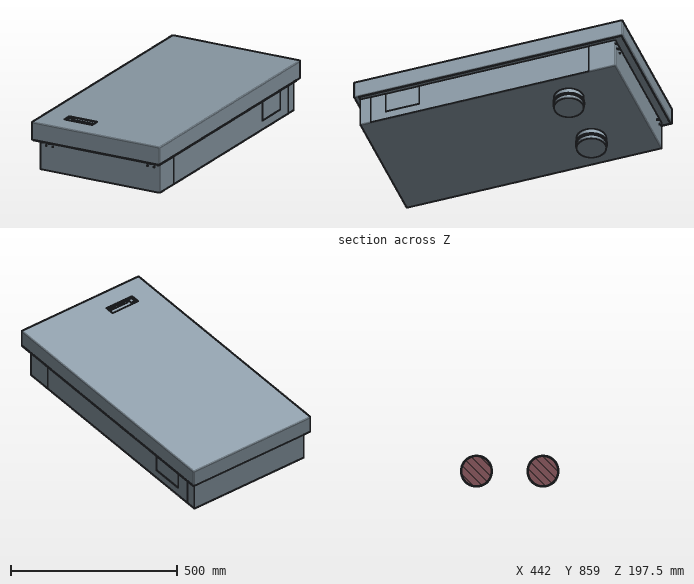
import cadquery as cq

TOTAL_HEIGHT = 197.5
LID_WIDTH = 442.0
LID_LENGTH = 859
LID_BOTTOM = 139.0
LID_EDGE_RADIUS = 3.0

CASE_WIDTH = 414.0
CASE_BACK = 414.0
CASE_FRONT = -402.0
CASE_BOTTOM = 38.0
CASE_EDGE_RADIUS = 3.0

FLANGE_THICKNESS = 3.0
FLANGE_SIDE_INSET = 3.5
FLANGE_FRONT_INSET = 4.0
FLANGE_WIDTH = LID_WIDTH - 2 * FLANGE_SIDE_INSET
FLANGE_FRONT = -LID_LENGTH / 2 + FLANGE_FRONT_INSET
FLANGE_BOTTOM = LID_BOTTOM - FLANGE_THICKNESS

PANEL_BACK = 380.0
PANEL_FRONT = -317.0
PANEL_DEPTH = 1.0
PLATE_BACK = 333.0
PLATE_FRONT = 225.0
PLATE_BOTTOM = 67.0
PLATE_DEPTH = 2.0

FRONT_HOLES = ((201.0, 126.0), (186.0, 118.5), (175.0, 126.0), (164.0, 118.5))
FRONT_HOLE_DIAMETER = 3.5
FRONT_HOLE_DEPTH = 4.0

SPIGOT_CENTRES = ((-110.0, -218.0), (90.0, -218.0))
SPIGOT_RADIUS = 45.5
BEAD_RADIUS = 47.0
BEAD_BOTTOM = 14.0
BEAD_TOP = 20.0
LEAD_IN_HEIGHT = 5.0
LEAD_IN_DEPTH = 1.0

DISPLAY_LEFT = -146
DISPLAY_RIGHT = -49.0
DISPLAY_FRONT = -362.0
DISPLAY_BACK = -331.5
DISPLAY_DEPTH = 2.0
DISPLAY_FLOOR = TOTAL_HEIGHT - DISPLAY_DEPTH
DISPLAY_CUTTER_TOP = TOTAL_HEIGHT + DISPLAY_DEPTH

POCKET_DEPTH = 1.0
POCKET_FRONT = -357.0
BUTTON_LEFT = -140.0
BUTTON_RIGHT = -126.0
BUTTON_BACK = -340.0
LABEL_LEFT = -119.0
LABEL_RIGHT = -55.0
LABEL_BACK = -349.0


def block(x_range, y_range, z_range):
    """Box between the two given limits along each axis."""
    (x0, x1), (y0, y1), (z0, z1) = x_range, y_range, z_range
    return cq.Workplane("XY").box(x1 - x0, y1 - y0, z1 - z0, centered=False).translate((x0, y0, z0))


def make_display_cut():
    """Display recess with 45 degree walls, together with the two pockets in its floor."""
    recess = block(
        (DISPLAY_LEFT, DISPLAY_RIGHT), (DISPLAY_FRONT, DISPLAY_BACK), (DISPLAY_FLOOR, DISPLAY_CUTTER_TOP)
    )
    recess = recess.faces("<Z").edges().chamfer(DISPLAY_DEPTH)
    pocket_heights = (DISPLAY_FLOOR - POCKET_DEPTH, DISPLAY_FLOOR)
    button = block((BUTTON_LEFT, BUTTON_RIGHT), (POCKET_FRONT, BUTTON_BACK), pocket_heights)
    label = block((LABEL_LEFT, LABEL_RIGHT), (POCKET_FRONT, LABEL_BACK), pocket_heights)
    return recess.union(button).union(label)


def make_lid():
    half_width = LID_WIDTH / 2
    half_length = LID_LENGTH / 2
    lid = block((-half_width, half_width), (-half_length, half_length), (LID_BOTTOM, TOTAL_HEIGHT))
    lid = lid.edges().fillet(LID_EDGE_RADIUS)
    return lid.cut(make_display_cut())


def make_side_recess(side, depth, front, back, bottom):
    """Cutter for a recess in one case side (side is -1 or 1), open up to the flange."""
    face_x = side * CASE_WIDTH / 2
    x_range = sorted((face_x, face_x - side * depth))
    return block(x_range, (front, back), (bottom, FLANGE_BOTTOM))


def make_spigot(centre):
    """Solid spigot with a bead around it and a tapered lower end."""
    tip_radius = SPIGOT_RADIUS - LEAD_IN_DEPTH
    profile = (
        cq.Workplane("XZ")
        .lineTo(tip_radius, 0)
        .lineTo(SPIGOT_RADIUS, LEAD_IN_HEIGHT)
        .lineTo(SPIGOT_RADIUS, BEAD_BOTTOM)
        .lineTo(BEAD_RADIUS, BEAD_BOTTOM)
        .lineTo(BEAD_RADIUS, BEAD_TOP)
        .lineTo(SPIGOT_RADIUS, BEAD_TOP)
        .lineTo(SPIGOT_RADIUS, CASE_BOTTOM)
        .lineTo(0, CASE_BOTTOM)
        .close()
    )
    x, y = centre
    return profile.revolve(360, (0, 0), (0, 1)).translate((x, y, 0))


def make_front_holes():
    """Cutters for the small holes in the case front."""
    points = [(side * x, z) for side in (-1, 1) for x, z in FRONT_HOLES]
    holes = cq.Workplane("XZ").pushPoints(points).circle(FRONT_HOLE_DIAMETER / 2).extrude(-FRONT_HOLE_DEPTH)
    return holes.translate((0, CASE_FRONT, 0))


def make_case():
    half_width = CASE_WIDTH / 2
    case = block((-half_width, half_width), (CASE_FRONT, CASE_BACK), (CASE_BOTTOM, FLANGE_BOTTOM))
    case = case.edges("(<Y and |Z) or (<Z and (not >Y))").fillet(CASE_EDGE_RADIUS)
    for side in (-1, 1):
        case = case.cut(make_side_recess(side, PANEL_DEPTH, PANEL_FRONT, PANEL_BACK, CASE_BOTTOM))
        case = case.cut(make_side_recess(side, PLATE_DEPTH, PLATE_FRONT, PLATE_BACK, PLATE_BOTTOM))
    case = case.cut(make_front_holes())
    half_flange = FLANGE_WIDTH / 2
    case = case.union(
        block((-half_flange, half_flange), (FLANGE_FRONT, CASE_BACK), (FLANGE_BOTTOM, LID_BOTTOM))
    )
    for centre in SPIGOT_CENTRES:
        case = case.union(make_spigot(centre))
    return case


lid = make_lid()
case = make_case()
result = cq.Compound.makeCompound([lid.solids().val(), case.solids().val()])